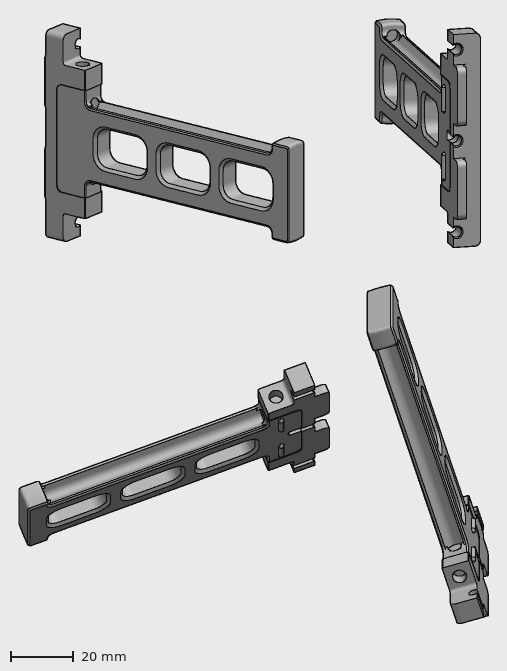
import cadquery as cq
import math


mount_thickness = 9.0
mount_height = 70.0
spine_width = 7.1
spine_end_radius = 2.0
lug_end_x = 16.0
lug_height = 50.0
lug_corner_radius = 1.0
lug_end_chamfer = 0.3

tab_reach = 5.0
tab_thickness = 3.05
tab_length = 19.25
tab_centre_z = (lug_height - tab_length) / 2
tab_corner_radius = 2.0
tab_root_radius = 1.0

screw_hole_diameter = 3.4
screw_hole_mouth_diameter = 4.2
screw_hole_spacing = 30.0
screw_hole_y = mount_thickness - 1.05

tongue_hole_depth = 4.0
drill_point_angle = 118.0

lug_hole_diameter = 4.4
lug_hole_depth = 5.0
lug_hole_x = (spine_width + lug_end_x) / 2

tongue_start_x = 4.5
tongue_height = 36.2
tongue_corner_radius = 2.0

plate_thickness = 8.5
plate_front_y = (mount_thickness - plate_thickness) / 2
plate_back_y = plate_front_y + plate_thickness
plate_mid_y = mount_thickness / 2
arm_half_height = 12.75
crown_radius = 20.0
neck_radius = 2.0
front_chamfer_depth = 0.3
front_chamfer_width = 0.5
back_chamfer = 0.6

head_start_x = 91.0
head_end_x = 98.0
head_half_height = 16.6
head_corner_radius = 1.0

groove_mouth_width = 6.2
groove_floor_width = 3.7
groove_bore_diameter = 4.6
bore_depth_in_head = 3.0

window_length = 20.0
window_height = 13.0
window_corner_radius = 4.0
window_chamfer = 1.0
window_pitch = 25.4
first_window_x = 30.0
window_count = 3

ridge_top_y = 9.88
ridge_radius = 0.9
ridge_length = 9.6
ridge_centre_z = 11.1

tolerance = 0.05


def box(x_range, y_range, z_range):
    size = [high - low for low, high in (x_range, y_range, z_range)]
    corner = (x_range[0], y_range[0], z_range[0])
    return cq.Workplane("XY").box(*size, centered=False).translate(corner)


def tongue_block(y_range):
    """Rounded block that fills the slot of the mount."""
    half = tongue_height / 2
    block = box((tongue_start_x, lug_end_x), y_range, (-half, half))
    return block.edges("|Y and <X").fillet(tongue_corner_radius)


def mount_tab(centre_z):
    low = centre_z - tab_length / 2
    high = centre_z + tab_length / 2
    tab_front_y = mount_thickness - tab_thickness
    tab = box((-tab_reach, 0), (tab_front_y, mount_thickness), (low, high))
    tab = tab.edges("|Y and <X").fillet(tab_corner_radius)
    root = (
        cq.Workplane("XY", origin=(0, 0, low))
        .moveTo(0, tab_front_y)
        .lineTo(-tab_root_radius, tab_front_y)
        .radiusArc((0, tab_front_y - tab_root_radius), tab_root_radius)
        .close()
        .extrude(tab_length)
    )
    return tab.union(root)


def screw_hole(centre_z):
    """Hole through the spine, with a 45 degree countersink at the mounting face."""
    hole_radius = screw_hole_diameter / 2
    mouth_radius = screw_hole_mouth_diameter / 2
    return (
        cq.Workplane("XY", origin=(0, screw_hole_y, centre_z))
        .polyline([
            (0, 0),
            (0, mouth_radius),
            (mouth_radius - hole_radius, hole_radius),
            (spine_width, hole_radius),
            (spine_width, 0),
        ])
        .close()
        .revolve(360, (0, 0, 0), (1, 0, 0))
    )


def build_mount():
    thickness = (0, mount_thickness)
    spine = box((0, spine_width), thickness, (-mount_height / 2, mount_height / 2))
    lug = box((0, lug_end_x), thickness, (-lug_height / 2, lug_height / 2))
    mount = spine.union(lug)
    inner_corners = cq.selectors.BoxSelector(
        (spine_width - tolerance, 0, -lug_height / 2 - tolerance),
        (spine_width + tolerance, mount_thickness, lug_height / 2 + tolerance),
    )
    mount = mount.edges("|Y").edges(inner_corners).fillet(lug_corner_radius)
    for end in (">Z", "<Z"):
        mount = mount.faces(end).edges("<Y").fillet(spine_end_radius)
    mount = mount.faces(">X").edges("|Z").chamfer(lug_end_chamfer)
    for side in (-1, 1):
        mount = mount.union(mount_tab(side * tab_centre_z))
        lug_hole = cq.Solid.makeCylinder(
            lug_hole_diameter / 2,
            lug_hole_depth,
            cq.Vector(lug_hole_x, mount_thickness / 2, side * lug_height / 2),
            cq.Vector(0, 0, -side),
        )
        mount = mount.cut(cq.Workplane(lug_hole))
    for centre_z in (-screw_hole_spacing, 0, screw_hole_spacing):
        mount = mount.cut(screw_hole(centre_z))
    return mount.cut(tongue_block(thickness))


def crowned_bar(start_x, end_x, half_height):
    """Bar along X whose upper and lower edges are gently crowned."""
    half_thickness = plate_thickness / 2
    crown_rise = crown_radius - math.sqrt(crown_radius**2 - half_thickness**2)
    edge = half_height - crown_rise
    return (
        cq.Workplane("YZ", origin=(start_x, plate_mid_y, 0))
        .moveTo(-half_thickness, -edge)
        .threePointArc((0, -half_height), (half_thickness, -edge))
        .lineTo(half_thickness, edge)
        .threePointArc((0, half_height), (-half_thickness, edge))
        .close()
        .extrude(end_x - start_x)
    )


def edge_groove():
    """Cutter for the upper arm edge: a bore that ends in the head, opened out by tangent walls."""
    mouth = groove_mouth_width / 2
    touch = groove_floor_width / 2
    bore_radius = groove_bore_diameter / 2
    wall_angle = math.asin(touch / bore_radius)
    mouth_z = arm_half_height - crown_radius + math.sqrt(crown_radius**2 - mouth**2)
    touch_z = mouth_z - (mouth - touch) * math.tan(wall_angle)
    bore_z = touch_z + bore_radius * math.cos(wall_angle)
    length = head_start_x - lug_end_x
    end_plane = cq.Workplane("YZ", origin=(lug_end_x, plate_mid_y, 0))
    walls = (
        end_plane
        .polyline([
            (-mouth, mouth_z),
            (-touch, touch_z),
            (touch, touch_z),
            (mouth, mouth_z),
            (mouth, arm_half_height),
            (-mouth, arm_half_height),
        ])
        .close()
        .extrude(length)
    )
    bore = end_plane.center(0, bore_z).circle(bore_radius).extrude(length + bore_depth_in_head)
    return walls.union(bore)


def cut_windows(arm):
    """Row of rounded windows, chamfered at the front and back of the plate."""
    centres = [(first_window_x + i * window_pitch, 0) for i in range(window_count)]
    windows = (
        cq.Workplane("XZ", origin=(0, plate_back_y, 0))
        .pushPoints(centres)
        .rect(window_length, window_height)
        .extrude(plate_thickness)
        .edges("|Y")
        .fillet(window_corner_radius)
    )
    arm = arm.cut(windows)
    half_rim = window_height / 2 + tolerance
    rims = cq.selectors.BoxSelector(
        (lug_end_x, 0, -half_rim),
        (head_start_x, mount_thickness, half_rim),
    )
    for plate_face in ("<Y", ">Y"):
        arm = arm.faces(plate_face).edges(rims).chamfer(window_chamfer)
    return arm


def tongue_hole():
    """Blind continuation of the middle screw hole, with a drill point."""
    hole_radius = screw_hole_diameter / 2
    point_depth = hole_radius / math.tan(math.radians(drill_point_angle / 2))
    hole_end_x = tongue_start_x + tongue_hole_depth
    return (
        cq.Workplane("XY", origin=(0, screw_hole_y, 0))
        .polyline([
            (tongue_start_x, 0),
            (tongue_start_x, hole_radius),
            (hole_end_x, hole_radius),
            (hole_end_x + point_depth, 0),
        ])
        .close()
        .revolve(360, (0, 0, 0), (1, 0, 0))
    )


def ridge(centre_z):
    """Half-round ridge along Z with 45 degree ends."""
    half = ridge_length / 2
    flat = half - ridge_radius
    return (
        cq.Workplane("XZ", origin=(lug_hole_x, ridge_top_y - ridge_radius, centre_z))
        .polyline([(0, -half), (ridge_radius, -flat), (ridge_radius, flat), (0, half)])
        .close()
        .revolve(360, (0, 0, 0), (0, 1, 0))
    )


def edges_near_x(body, x, z_limit):
    """Edges of the body that lie on the plane at x, up to z_limit above or below centre."""
    corner = (x + tolerance, mount_thickness, z_limit)
    return body.edges(cq.selectors.BoxSelector((x - tolerance, 0, -z_limit), corner))


def chamfer_outline(arm):
    """Chamfers along the front and back outline, from the tongue shoulders to the free end."""
    outline = cq.selectors.BoxSelector(
        (lug_end_x - tolerance, 0, -head_half_height),
        (head_end_x + tolerance, mount_thickness, head_half_height),
    )
    arm = arm.faces("<Y").edges(outline).chamfer(front_chamfer_width, front_chamfer_depth)
    return arm.faces(">Y").edges(outline).chamfer(back_chamfer)


def build_arm():
    bar = crowned_bar(tongue_start_x, head_start_x, arm_half_height)
    head = crowned_bar(head_start_x, head_end_x, head_half_height)
    tongue = tongue_block((plate_front_y, plate_back_y))
    arm = tongue.union(bar).union(head)
    for x in (lug_end_x, head_start_x):
        arm = edges_near_x(arm, x, arm_half_height).fillet(neck_radius)
    for x in (head_start_x, head_end_x):
        head_edges = edges_near_x(arm, x, head_half_height).edges("%CIRCLE")
        arm = head_edges.fillet(head_corner_radius)
    arm = chamfer_outline(arm)
    upper_groove = edge_groove()
    arm = arm.cut(upper_groove).cut(upper_groove.mirror("XY"))
    arm = cut_windows(arm)
    for side in (-1, 1):
        arm = arm.union(ridge(side * ridge_centre_z))
    return arm.cut(tongue_hole())


mount = build_mount()
arm = build_arm()
result = cq.Compound.makeCompound([mount.val(), arm.val()])